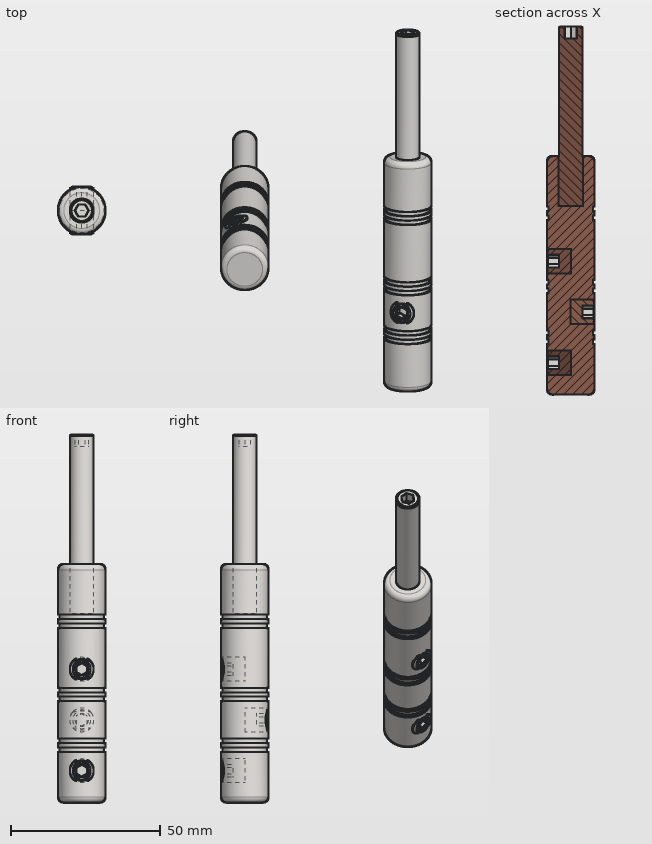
import cadquery as cq
import math

housing_radius = 8.0
housing_length = 80.0
housing_end_fillet = 2.0

groove_width = 1.5
groove_depth = 0.5
ridge_width = 1.5
grip_band_heights = [19.25, 36.25, 60.75]

socket_depth = 4.0
rod_socket_across_flats = 4.0
screw_socket_across_flats = 3.6
screw_countersink_radius = 2.2

rod_radius = 4.0
rod_exposed_length = 43.35
rod_length = 60.0
rod_chamfer = 0.5

screw_radius = 4.0
screw_length = 8.0
screw_face_radius = 3.0
screw_chamfer_angle = 30.0
screw_mouth_radius = 3.4
screw_spacing = 17.0
lowest_screw_height = 10.75
screw_places = [
    (lowest_screw_height, 0.0),
    (lowest_screw_height + screw_spacing, 180.0),
    (lowest_screw_height + 2 * screw_spacing, 0.0),
]


def ring_groove(bottom):
    """Ring that cuts one groove, from the given height up."""
    return (
        cq.Workplane("XY", origin=(0, 0, bottom))
        .circle(housing_radius + groove_depth)
        .circle(housing_radius - groove_depth)
        .extrude(groove_width)
    )


def hex_socket(across_flats):
    """Hexagonal prism going down from Z = 0, with two corners on the X axis."""
    across_corners = across_flats / math.cos(math.pi / 6)
    return cq.Workplane("XY").polygon(6, across_corners).extrude(-socket_depth)


def chamfered_pin(radius, length, chamfer_depth, chamfer_width):
    """Solid pin going down from Z = 0, with a chamfer of given depth and radial width at its upper end."""
    profile = [
        (0, 0),
        (radius - chamfer_width, 0),
        (radius, -chamfer_depth),
        (radius, -length),
        (0, -length),
    ]
    return cq.Workplane("XZ").polyline(profile).close().revolve(axisStart=(0, 0), axisEnd=(0, 1))


def place_screw(shape, height, turn):
    """Move a shape from the Z axis to a screw's place in the housing side."""
    corners_upright = shape.rotate((0, 0, 0), (0, 0, 1), 90)
    lying = corners_upright.rotate((0, 0, 0), (1, 0, 0), 90)
    outward = lying.translate((0, -housing_radius, height))
    return outward.rotate((0, 0, 0), (0, 0, 1), turn)


def screw_blank():
    """Set screw without its socket."""
    chamfer_width = screw_radius - screw_face_radius
    chamfer_depth = chamfer_width * math.tan(math.radians(screw_chamfer_angle))
    return chamfered_pin(screw_radius, screw_length, chamfer_depth, chamfer_width)


def screw_seat():
    """Hole for a set screw: fits the screw, with a narrower clear mouth in front of its chamfer."""
    mouth = cq.Workplane("XY").circle(screw_mouth_radius).extrude(-screw_length)
    return screw_blank().union(mouth)


def screw_countersink():
    """Cone, 45 degrees to its axis, that bevels the mouth of a screw's socket."""
    profile = [(0, 0), (screw_countersink_radius, 0), (0, -screw_countersink_radius)]
    return cq.Workplane("XZ").polyline(profile).close().revolve(axisStart=(0, 0), axisEnd=(0, 1))


def make_housing():
    housing = cq.Workplane("XY").circle(housing_radius).extrude(housing_length)
    housing = housing.faces("<Z or >Z").edges().fillet(housing_end_fillet)
    for middle in grip_band_heights:
        housing = housing.cut(ring_groove(middle + ridge_width / 2))
        housing = housing.cut(ring_groove(middle - ridge_width / 2 - groove_width))
    rod_hole_depth = rod_length - rod_exposed_length
    rod_hole = cq.Workplane("XY").circle(rod_radius).extrude(-rod_hole_depth)
    housing = housing.cut(rod_hole.translate((0, 0, housing_length)))
    for height, turn in screw_places:
        housing = housing.cut(place_screw(screw_seat(), height, turn))
    return housing


def make_rod():
    rod = chamfered_pin(rod_radius, rod_length, rod_chamfer, rod_chamfer)
    rod = rod.cut(hex_socket(rod_socket_across_flats))
    return rod.translate((0, 0, housing_length + rod_exposed_length))


def make_set_screw(height, turn):
    screw = screw_blank().cut(hex_socket(screw_socket_across_flats)).cut(screw_countersink())
    return place_screw(screw, height, turn)


housing = make_housing()
rod = make_rod()
set_screws = [make_set_screw(height, turn) for height, turn in screw_places]

result = cq.Compound.makeCompound([housing.val(), rod.val(), *[screw.val() for screw in set_screws]])